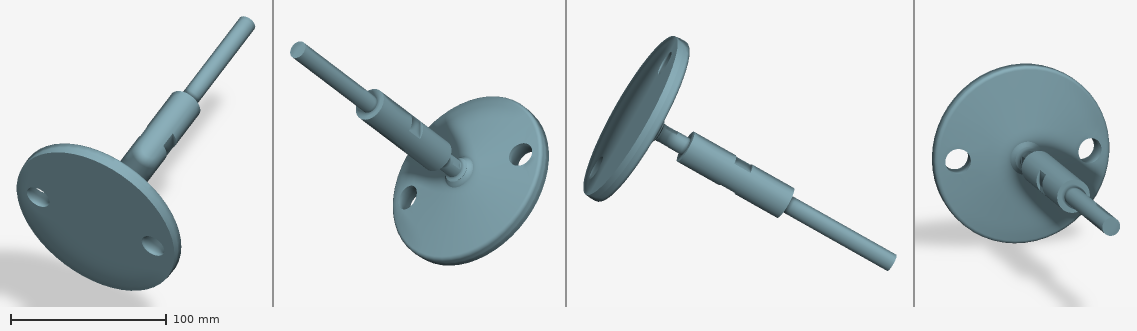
import cadquery as cq
import math


foot_diameter = 118.0
foot_radius = foot_diameter / 2
base_radius = 58.5
taper_height = 4.0
rim_height = 7.3
shoulder_fillet = 2.5
top_slope = math.radians(9.5)
collar_base_radius = 11.0
collar_top_radius = 8.0
collar_top_height = 20.0

hole_diameter = 16.5
hole_offset = 42.5
hole_length = 59.1

overall_length = 197.0
rod_diameter = 12.0
rod_start = 22.5
neck_radius = 5.3
neck_height = 21.9
lip_radius = 8.5
lip_height = 20.7
rod_flat_start = 23.8
rod_flat_length = 8.0
rod_flat_width = 10.0

sleeve_diameter = 22.0
sleeve_start = 41.5
sleeve_length = 75.3
sleeve_flat_length = 12.2
sleeve_flat_width = 17.1


def revolve_about_y(profile):
    return profile.close().revolve(360, (0, 0, 0), (0, 1, 0))


def cylinder_along_y(diameter, start, length):
    disc = cq.Workplane("XZ", origin=(0, start, 0)).circle(diameter / 2)
    return disc.extrude(-length)


def cut_wrench_flats(body, diameter, start, length, across_flats):
    """Cut a flat on the -X and +X sides of a round body."""
    middle = start + length / 2
    depth = diameter - across_flats
    for side in (-1, 1):
        cutter = cq.Workplane("XY").box(depth, length, diameter)
        body = body.cut(cutter.translate((side * diameter / 2, middle, 0)))
    return body


def make_foot():
    shoulder_radius = foot_radius - shoulder_fillet * (1 - math.sin(top_slope))
    shoulder_height = rim_height + shoulder_fillet * math.cos(top_slope)
    collar_base_height = shoulder_height + (shoulder_radius - collar_base_radius) * math.tan(top_slope)
    foot = revolve_about_y(
        cq.Workplane("XY")
        .moveTo(0, 0)
        .lineTo(base_radius, 0)
        .lineTo(foot_radius, taper_height)
        .lineTo(foot_radius, rim_height)
        .tangentArcPoint((shoulder_radius, shoulder_height), relative=False)
        .lineTo(collar_base_radius, collar_base_height)
        .lineTo(collar_top_radius, collar_top_height)
        .lineTo(0, collar_top_height)
    )
    for side in (-1, 1):
        axis = cq.Vector(side * math.sin(top_slope), math.cos(top_slope), 0)
        start = cq.Vector(side * hole_offset, 0, 0) - axis * (hole_length / 2)
        drill = cq.Solid.makeCylinder(hole_diameter / 2, hole_length, start, axis)
        foot = foot.cut(cq.Workplane(drill))
    return foot


def make_spindle():
    rod_radius = rod_diameter / 2
    spindle = revolve_about_y(
        cq.Workplane("XY")
        .moveTo(0, collar_top_height)
        .lineTo(collar_top_radius, collar_top_height)
        .lineTo(lip_radius, lip_height)
        .lineTo(neck_radius, neck_height)
        .lineTo(rod_radius, rod_start)
        .lineTo(rod_radius, overall_length)
        .lineTo(0, overall_length)
    )
    return cut_wrench_flats(spindle, rod_diameter, rod_flat_start, rod_flat_length, rod_flat_width)


def make_sleeve():
    sleeve = cylinder_along_y(sleeve_diameter, sleeve_start, sleeve_length)
    sleeve = sleeve.cut(cylinder_along_y(rod_diameter, sleeve_start, sleeve_length))
    flat_start = sleeve_start + (sleeve_length - sleeve_flat_length) / 2
    return cut_wrench_flats(sleeve, sleeve_diameter, flat_start, sleeve_flat_length, sleeve_flat_width)


foot = make_foot()
spindle = make_spindle()
sleeve = make_sleeve()

bodies = [foot, spindle, sleeve]
result = cq.Compound.makeCompound([body.solids().val() for body in bodies])